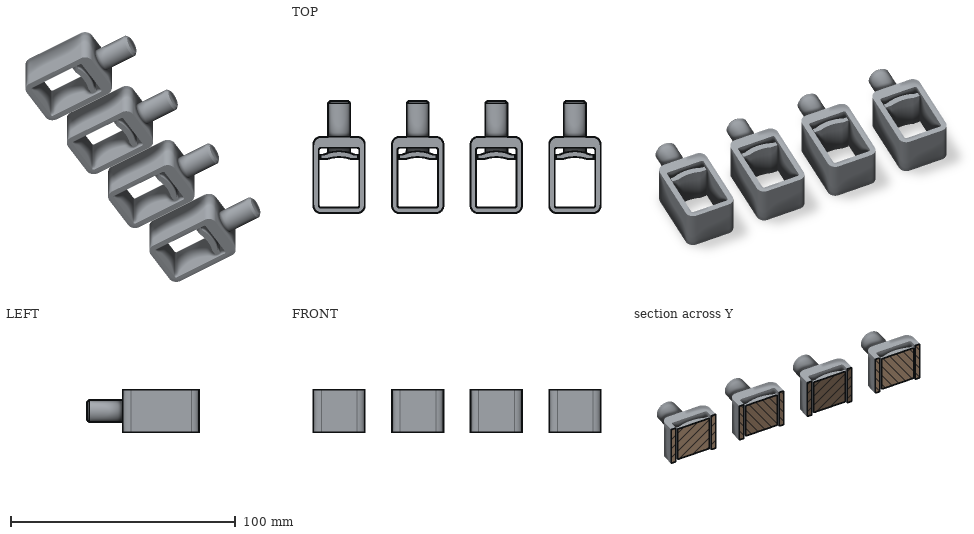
import cadquery as cq

clamp_count = 4
row_length = 128.0

frame_width = 23.0
frame_depth = 34.0
frame_height = 19.0
frame_corner_radius = 3.6
wall = 2.5
screw_wall = 5.0
window_corner_radius = 0.8

screw_diameter = 10.0
screw_projection = 16.0
screw_chamfer = 1.0

pad_width = 16.6
pad_height = 17.0
pad_gap = 1.5
pad_end_thickness = 2.0
pad_back_rise = 1.4
pad_back_half_chord = 6.9
pad_front_rise = 0.9
pad_front_half_chord = 5.4

clamp_pitch = (row_length - frame_width) / (clamp_count - 1)
window_back_y = frame_depth - screw_wall
pad_crown_y = window_back_y - pad_gap
pad_back_y = pad_crown_y - pad_back_rise
pad_front_y = pad_back_y - pad_end_thickness
pad_front_crown_y = pad_front_y + pad_front_rise
screw_tip_y = frame_depth + screw_projection
screw_inner_y = (pad_crown_y + pad_front_crown_y) / 2


def make_frame():
    """Rounded rectangular tube with its front face on Y = 0, centred on X and Z."""
    window_width = frame_width - 2 * wall
    window_depth = window_back_y - wall
    outer = (
        cq.Workplane("XY")
        .box(frame_width, frame_depth, frame_height)
        .edges("|Z")
        .fillet(frame_corner_radius)
        .translate((0, frame_depth / 2, 0))
    )
    window = (
        cq.Workplane("XY")
        .box(window_width, window_depth, frame_height)
        .edges("|Z")
        .fillet(window_corner_radius)
        .translate((0, wall + window_depth / 2, 0))
    )
    return outer.cut(window)


def make_screw():
    """Plain shank along Y with a chamfered outer tip."""
    return (
        cq.Workplane("XZ", origin=(0, screw_tip_y, 0))
        .circle(screw_diameter / 2)
        .extrude(screw_tip_y - screw_inner_y)
        .faces(">Y")
        .chamfer(screw_chamfer)
    )


def make_pad():
    """Pad with flat ends and a middle that arches towards the screw."""
    half_width = pad_width / 2
    return (
        cq.Workplane("XY")
        .moveTo(-half_width, pad_front_y)
        .lineTo(-pad_front_half_chord, pad_front_y)
        .threePointArc((0, pad_front_crown_y), (pad_front_half_chord, pad_front_y))
        .lineTo(half_width, pad_front_y)
        .lineTo(half_width, pad_back_y)
        .lineTo(pad_back_half_chord, pad_back_y)
        .threePointArc((0, pad_crown_y), (-pad_back_half_chord, pad_back_y))
        .lineTo(-half_width, pad_back_y)
        .close()
        .extrude(pad_height / 2, both=True)
    )


def make_clamp(center_x):
    """One clamp: frame, screw and pad joined in a single solid."""
    clamp = make_frame().union(make_screw()).union(make_pad())
    return clamp.translate((center_x, 0, 0))


first_clamp_x = (frame_width - row_length) / 2
clamps = [make_clamp(first_clamp_x + index * clamp_pitch) for index in range(clamp_count)]

result = cq.Compound.makeCompound([clamp.val() for clamp in clamps])